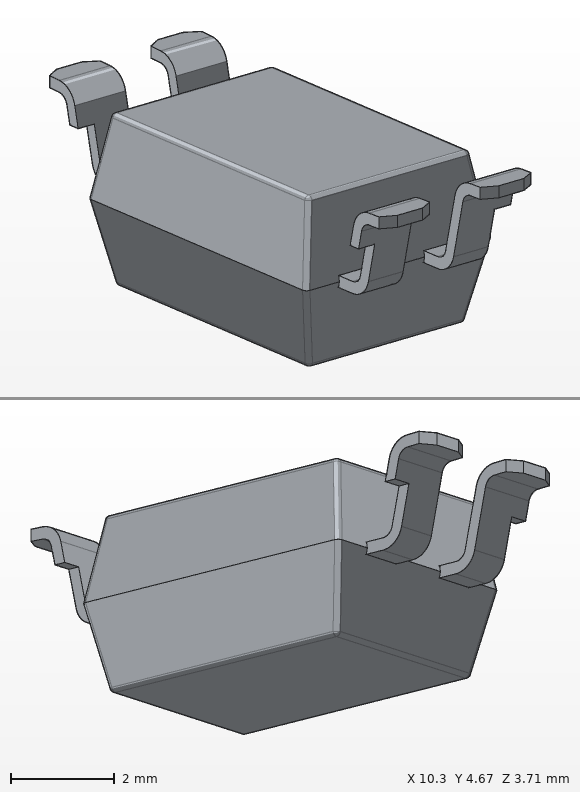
import cadquery as cq
import math

OVERALL_LENGTH = 10.34
HOUSING_WIDTH = 4.67

HOUSING_LENGTH = 6.62
HALF_HEIGHT = 1.78
UPPER_DRAFT = 10.0
LOWER_DRAFT = 12.0
HOUSING_EDGE_RADIUS = 0.1

THICKNESS = 0.25
LEG_LEAN = 13.0
FOOT_RISE = 2.0
KNEE_X = 4.0
FOOT_TOP = 1.93
BEND_RADIUS = 0.25

LEAD_INNER_Y = 0.63
STRIP_WIDTH = 0.87
FOOT_WIDTH = 1.27
SHOULDER_Z = 1.09
TIP_CHAMFER_X = 0.18
TIP_CHAMFER_Y = 0.32

TIP_X = OVERALL_LENGTH / 2
LEG_ELEVATION = 90 - LEG_LEAN
LEG_RUN = math.tan(math.radians(LEG_LEAN))
FOOT_SLOPE = math.tan(math.radians(FOOT_RISE))
FOOT_THICKNESS_Z = THICKNESS / math.cos(math.radians(FOOT_RISE))
TIP_MID_Z = FOOT_TOP - FOOT_THICKNESS_Z / 2

ANKLE_Z = (TIP_MID_Z - (TIP_X - KNEE_X) * FOOT_SLOPE) / (1 - LEG_RUN * FOOT_SLOPE)
ANKLE_X = KNEE_X + ANKLE_Z * LEG_RUN


def housing_half(draft):
    """Half of the housing above the parting plane, with rounded outer edges."""
    return (
        cq.Workplane("XY")
        .rect(HOUSING_LENGTH, HOUSING_WIDTH)
        .extrude(HALF_HEIGHT, taper=draft)
        .edges("not <Z")
        .fillet(HOUSING_EDGE_RADIUS)
    )


def make_housing(leads):
    """Both housing halves, with a slot where each lead runs through."""
    upper = housing_half(UPPER_DRAFT)
    lower = housing_half(LOWER_DRAFT).mirror("XY")
    body = upper.union(lower)
    for lead in leads:
        body = body.cut(lead)
    return body


def bend_corner(x, z, elevation_before, elevation_after, offset):
    """Corner of a surface lying `offset` above a mid-surface that bends at (x, z)."""
    mean = math.radians(elevation_before + elevation_after) / 2
    half_turn = math.radians(elevation_before - elevation_after) / 2
    reach = offset / math.cos(half_turn)
    return (x - reach * math.sin(mean), z + reach * math.cos(mean))


def strip_side(offset):
    """Knee and ankle corners of the strip surface lying `offset` above its mid-surface."""
    knee = bend_corner(KNEE_X, 0, 0, LEG_ELEVATION, offset)
    ankle = bend_corner(ANKLE_X, ANKLE_Z, LEG_ELEVATION, FOOT_RISE, offset)
    return knee, ankle


def bent_strip():
    """Constant-thickness strip at full foot width, its inner side on y = LEAD_INNER_Y."""
    upper_knee, upper_ankle = strip_side(THICKNESS / 2)
    lower_knee, lower_ankle = strip_side(-THICKNESS / 2)
    upper_side = [upper_knee, upper_ankle, (TIP_X, FOOT_TOP)]
    lower_side = [(TIP_X, FOOT_TOP - FOOT_THICKNESS_Z), lower_ankle, lower_knee]
    right_side = upper_side + lower_side
    left_side = [(-x, z) for x, z in reversed(right_side)]
    strip = (
        cq.Workplane("XZ", origin=(0, LEAD_INNER_Y, 0))
        .polyline(right_side + left_side)
        .close()
        .extrude(-FOOT_WIDTH)
    )
    inside_bends = [upper_knee, lower_ankle]
    outside_bends = [upper_ankle, lower_knee]
    strip = round_bends(strip, inside_bends, BEND_RADIUS)
    return round_bends(strip, outside_bends, BEND_RADIUS + THICKNESS)


def round_bends(strip, corners, radius):
    """Round the bend edges through the given (x, z) corners and their mirror images."""
    middle_y = LEAD_INNER_Y + FOOT_WIDTH / 2
    for x, z in corners:
        for side in (-1, 1):
            edge = cq.selectors.NearestToPointSelector((side * x, middle_y, z))
            strip = strip.edges(edge).fillet(radius)
    return strip


def lead_plan():
    """Plan outline of the feet, with both tips chamfered."""
    outer_y = LEAD_INNER_Y + FOOT_WIDTH
    shoulder_x = TIP_X - TIP_CHAMFER_X
    right_side = [
        (shoulder_x, LEAD_INNER_Y),
        (TIP_X, LEAD_INNER_Y + TIP_CHAMFER_Y),
        (TIP_X, outer_y - TIP_CHAMFER_Y),
        (shoulder_x, outer_y),
    ]
    left_side = [(-x, y) for x, y in reversed(right_side)]
    return (
        cq.Workplane("XY", origin=(0, 0, -THICKNESS))
        .polyline(right_side + left_side)
        .close()
        .extrude(FOOT_TOP + 2 * THICKNESS)
    )


def make_lead():
    """Lead on the +Y side, a single strip from foot to foot through the housing."""
    narrowing = cq.Workplane("XY").box(
        OVERALL_LENGTH,
        FOOT_WIDTH - STRIP_WIDTH,
        SHOULDER_Z + THICKNESS,
        centered=(True, False, False),
    ).translate((0, LEAD_INNER_Y + STRIP_WIDTH, -THICKNESS))
    return bent_strip().intersect(lead_plan()).cut(narrowing)


first_lead = make_lead()
leads = []
for turn in (0, 180):
    leads.append(first_lead.rotate((0, 0, 0), (0, 0, 1), turn))
housing = make_housing(leads)

result = cq.Compound.makeCompound([housing.val(), *[lead.val() for lead in leads]])